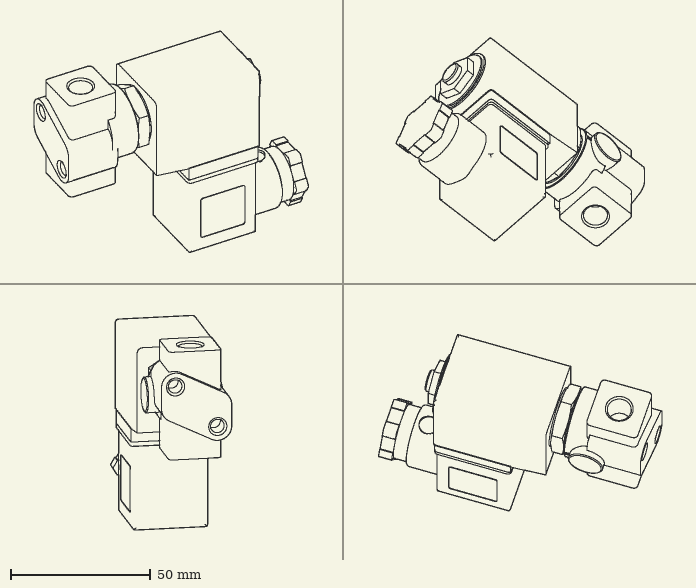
import cadquery as cq
import math

overall_length = 98.9
overall_height = 78.0

port_block_side = 19.2
port_block_half_height = 20.0
port_block_y = 12.1
port_block_corner = 1.6
port_diameter = 8.6
port_mouth_diameter = 10.0
port_depth = 11.9

flange_length = 20.2
flange_half_width = 12.9
flange_radius = 5.1
flange_slope = math.radians(26)
mount_diameter = 4.9
mount_mouth_diameter = 6.6
mount_depth = 7.9
drill_point_angle = 118

barrel_diameter = 26.1
barrel_start = 18.0
barrel_end = 28.9
barrel_chamfer = 0.3
rib_width = 0.8
rib_reach = 13.3

side_plug_diameter = 13.0
side_plug_chamfer = 0.4
side_plug_y = 20.1
side_plug_reach = 15.3

collar_diameter = 21.9
hex_across_flats = 21.9
hex_start = 29.6
hex_end = 34.4
hex_corner_drop = 0.5

coil_width = 29.9
coil_start = 35.0
coil_end = 77.6
coil_top = 13.5
coil_bottom = -19.5
coil_edge_radius = 2
coil_back_radius = 1.2
coil_slope_length = 12.5
coil_slope_rise = 1.5

neck_width = 29.3
neck_start = 48.3
neck_end = 77.3
neck_bottom = -24.8

washer_diameter = 24.1
washer_step_diameter = 22.0
washer_step = 0.6
nut_across_flats = 14.0
nut_height = 3
stud_diameter = 8.0
stud_length = 2.3
stud_chamfer = 0.5

gasket_bottom = -26.5
gasket_corner = 1.5
plug_body_width = 27.7
plug_body_start = 48.8
plug_body_end = 76.7
plug_body_bottom = port_block_half_height - overall_height
plug_body_radius = 1.5
label_length = 18.2
label_height = 17.0
label_corner = 1
label_depth = 0.2
label_y = 62.8
label_z = -43.9

gland_z = -46.3
gland_diameter = 23.0
gland_end = 89
gland_fillet = 1.2
gland_recess_diameter = 7.0
gland_recess_depth = 1
gland_recess_y = 83.7
gland_neck_diameter = 20.2
cap_thickness = 4.9
cap_across_flats = 21.3
cap_corner_radius = 0.5
cap_notch_width = 5.9
cap_notch_depth = 0.5

overlap = 1


def y_disc(diameter, y_start, y_end, z=0):
    """Round bar along Y between two Y positions."""
    return (cq.Workplane("XZ", origin=(0, y_start, z))
            .circle(diameter / 2).extrude(y_start - y_end))


def y_hexagon(across_flats, y_start, y_end, turn=0, z=0):
    """Hexagonal bar along Y; with no turn two corners point up and down."""
    hexagon = (cq.Workplane("XZ", origin=(0, y_start, z))
               .polygon(6, across_flats, circumscribed=True).extrude(y_start - y_end))
    return hexagon.rotate((0, 0, z), (0, 1, z), turn)


def box_between(width, y_start, y_end, z_bottom, z_top):
    """Box centred on X = 0 between the given Y and Z limits."""
    return (cq.Workplane("XY", origin=(0, (y_start + y_end) / 2, z_bottom))
            .rect(width, y_end - y_start).extrude(z_top - z_bottom))


def make_port_block():
    return (box_between(port_block_side, port_block_y - port_block_side / 2,
                        port_block_y + port_block_side / 2,
                        -port_block_half_height, port_block_half_height)
            .edges("|Z").fillet(port_block_corner))


def make_flange():
    """Parallelogram flange, rounded about the two mounting hole centres."""
    hole_offset = flange_half_width - flange_radius
    side_distance = hole_offset * (math.cos(flange_slope) - math.sin(flange_slope)) + flange_radius

    def side_height(x):
        return (side_distance - x * math.sin(flange_slope)) / math.cos(flange_slope)

    tall = side_height(-flange_half_width)
    short = side_height(flange_half_width)
    return (cq.Workplane("XZ")
            .moveTo(-flange_half_width, tall)
            .lineTo(flange_half_width, short)
            .lineTo(flange_half_width, -tall)
            .lineTo(-flange_half_width, -short)
            .close().extrude(-flange_length)
            .edges("|Y").fillet(flange_radius))


def make_barrel():
    barrel = y_disc(barrel_diameter, barrel_start, barrel_end).faces(">Y").chamfer(barrel_chamfer)
    rib = (cq.Workplane("XY", origin=(0, 0, -rib_width / 2))
           .moveTo(-rib_reach, barrel_start)
           .lineTo(0, barrel_start)
           .lineTo(0, barrel_end - barrel_chamfer)
           .lineTo(-rib_reach, barrel_end - barrel_chamfer)
           .close().extrude(rib_width))
    return barrel.union(rib)


def make_side_plug():
    return (cq.Workplane("YZ", origin=(-side_plug_reach, side_plug_y, 0))
            .circle(side_plug_diameter / 2).extrude(side_plug_reach)
            .faces("<X").chamfer(side_plug_chamfer))


def make_valve_hex():
    """Hexagon with corners up and down, bevelled at both ends down to the flats."""
    corner_radius = hex_across_flats / math.sqrt(3)
    flat_radius = hex_across_flats / 2
    bevel = (cq.Workplane("XY")
             .moveTo(0, hex_start)
             .lineTo(flat_radius, hex_start)
             .lineTo(corner_radius, hex_start + hex_corner_drop)
             .lineTo(corner_radius, hex_end - hex_corner_drop)
             .lineTo(flat_radius, hex_end)
             .lineTo(0, hex_end)
             .close().revolve(360, (0, 0, 0), (0, 1, 0)))
    return y_hexagon(hex_across_flats, hex_start, hex_end).intersect(bevel)


def make_port(direction):
    """Blind port in the top (+1) or bottom (-1) face, with a bevelled mouth."""
    mouth_bevel = (port_mouth_diameter - port_diameter) / 2
    port = (cq.Workplane("XY")
            .moveTo(0, port_block_half_height)
            .lineTo(port_mouth_diameter / 2, port_block_half_height)
            .lineTo(port_diameter / 2, port_block_half_height - mouth_bevel)
            .lineTo(port_diameter / 2, port_block_half_height - port_depth)
            .lineTo(0, port_block_half_height - port_depth)
            .close().revolve(360, (0, 0, 0), (0, 1, 0)))
    return port.rotate((0, 0, 0), (1, 0, 0), 90 * direction).translate((0, port_block_y, 0))


def make_mount_hole(side):
    """Drilled mounting hole with a countersunk mouth in the Y = 0 face."""
    offset = side * (flange_half_width - flange_radius)
    mouth_bevel = (mount_mouth_diameter - mount_diameter) / 2
    point_length = mount_diameter / 2 / math.tan(math.radians(drill_point_angle / 2))
    hole = (cq.Workplane("XY")
            .moveTo(0, 0)
            .lineTo(mount_mouth_diameter / 2, 0)
            .lineTo(mount_diameter / 2, mouth_bevel)
            .lineTo(mount_diameter / 2, mount_depth)
            .lineTo(0, mount_depth + point_length)
            .close().revolve(360, (0, 0, 0), (0, 1, 0)))
    return hole.translate((offset, 0, -offset))


def make_valve():
    valve = (make_port_block()
             .union(make_flange())
             .union(make_barrel())
             .union(make_side_plug())
             .union(y_disc(collar_diameter, barrel_end - overlap, coil_start))
             .union(make_valve_hex()))
    for side in (1, -1):
        valve = valve.cut(make_port(side)).cut(make_mount_hole(side))
    return valve


def make_coil_block():
    """Coil housing, sloped underneath at the valve end; its rounds meet in mitred corners."""
    side_shape = (cq.Workplane("YZ", origin=(-coil_width / 2, 0, 0))
                  .moveTo(coil_start, coil_top)
                  .lineTo(coil_end, coil_top)
                  .lineTo(coil_end, coil_bottom)
                  .lineTo(coil_start + coil_slope_length, coil_bottom)
                  .lineTo(coil_start, coil_bottom + coil_slope_rise)
                  .close().extrude(coil_width)
                  .edges("|X and >Z and >Y").fillet(coil_back_radius))
    envelope = box_between(coil_width, coil_start, coil_end, coil_bottom, coil_top)
    end_shape = envelope.edges("|Y and >Z").fillet(coil_edge_radius)
    plan_shape = envelope.edges("|Z and >Y").fillet(coil_back_radius)
    return side_shape.intersect(end_shape).intersect(plan_shape)


def make_coil_nut():
    """Stepped washer, nut and stud end on the back of the coil."""
    step_start = coil_end + washer_step
    nut_start = step_start + washer_step
    nut_end = nut_start + nut_height
    stud = (y_disc(stud_diameter, nut_end - overlap, nut_end + stud_length)
            .faces(">Y").chamfer(stud_chamfer))
    return (y_disc(washer_diameter, coil_end - overlap, step_start)
            .union(y_disc(washer_step_diameter, coil_end, nut_start))
            .union(y_hexagon(nut_across_flats, step_start, nut_end))
            .union(stud))


def make_coil():
    neck = box_between(neck_width, neck_start, neck_end, neck_bottom, coil_bottom + overlap)
    neck = neck.edges("|Z and >Y").fillet(coil_back_radius)
    return make_coil_block().union(neck).union(make_coil_nut())


def make_gland():
    """Cable gland: filleted drum with a round recess on top, and a thinner neck."""
    drum = (y_disc(gland_diameter, plug_body_end - 2 * plug_body_radius, gland_end, gland_z)
            .faces(">Y").edges().fillet(gland_fillet))
    recess_floor = gland_z + gland_diameter / 2 - gland_recess_depth
    recess = (cq.Workplane("XY", origin=(0, gland_recess_y, recess_floor))
              .circle(gland_recess_diameter / 2).extrude(gland_recess_depth))
    neck = y_disc(gland_neck_diameter, gland_end - overlap, overall_length, gland_z)
    return drum.cut(recess).union(neck)


def make_cap():
    """Hexagonal cap with a shallow notch in the middle of each flat."""
    cap_start = overall_length - cap_thickness
    cap = (y_hexagon(cap_across_flats, cap_start, overall_length, turn=90, z=gland_z)
           .edges("|Y").fillet(cap_corner_radius))
    notch = (cq.Workplane("XY", origin=(0, 0, gland_z + cap_across_flats / 2 - cap_notch_depth))
             .center(0, overall_length - cap_thickness / 2)
             .rect(cap_notch_width, cap_thickness).extrude(cap_notch_depth))
    for flat in range(6):
        cap = cap.cut(notch.rotate((0, 0, gland_z), (0, 1, gland_z), 60 * flat))
    return cap


def make_plug_body():
    """Plug housing whose upright and bottom edges are rounded and meet in mitred corners."""
    envelope = box_between(plug_body_width, plug_body_start, plug_body_end, plug_body_bottom, gasket_bottom)
    plug_body = envelope.edges("|Z").fillet(plug_body_radius)
    for bottom_edges in ("|X and <Z", "|Y and <Z"):
        plug_body = plug_body.intersect(envelope.edges(bottom_edges).fillet(plug_body_radius))
    label = (cq.Workplane("YZ", origin=(-plug_body_width / 2, label_y, label_z))
             .rect(label_length, label_height).extrude(label_depth)
             .edges("|X").fillet(label_corner))
    return plug_body.cut(label).cut(label.mirror("YZ"))


def make_connector():
    gasket = box_between(neck_width, neck_start, neck_end, gasket_bottom, neck_bottom)
    gasket = gasket.edges("|Z").fillet(gasket_corner)
    return (make_plug_body()
            .union(gasket)
            .union(make_gland())
            .union(make_cap()))


valve = make_valve()
coil = make_coil()
connector = make_connector()

result = cq.Compound.makeCompound([valve.val(), coil.val(), connector.val()])